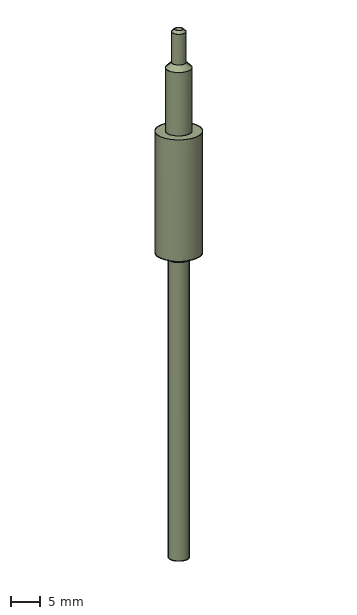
import cadquery as cq

total_length = 95.5
tip_length = 6.0
tip_bevel_height = 0.5
shoulder_height = 1.0
plunger_length = 12.4
collar_length = 22.0
neck_height = 1.1

tip_diameter = 2.5
tip_end_diameter = 1.4
plunger_diameter = 4.5
collar_diameter = 8.0
stem_diameter = 3.5
neck_diameter = stem_diameter + 2 * neck_height

bottom_z = -total_length / 2
top_z = total_length / 2
tip_base_z = top_z - tip_length
collar_top_z = tip_base_z - plunger_length
collar_bottom_z = collar_top_z - collar_length
stem_top_z = collar_bottom_z - neck_height

outline_corners = [
    (stem_diameter, bottom_z),
    (stem_diameter, stem_top_z),
    (neck_diameter, collar_bottom_z),
    (collar_diameter, collar_bottom_z),
    (collar_diameter, collar_top_z),
    (plunger_diameter, collar_top_z),
    (plunger_diameter, tip_base_z - shoulder_height),
    (tip_diameter, tip_base_z),
    (tip_diameter, top_z - tip_bevel_height),
    (tip_end_diameter, top_z),
]


def turned_pin(corners):
    """Revolve the half outline about Z into a solid pin."""
    outline = cq.Workplane("XZ").moveTo(0, bottom_z)
    for diameter, height in corners:
        outline = outline.lineTo(diameter / 2, height)
    return outline.lineTo(0, top_z).close().revolve(360, (0, 0, 0), (0, 1, 0))


result = turned_pin(outline_corners)